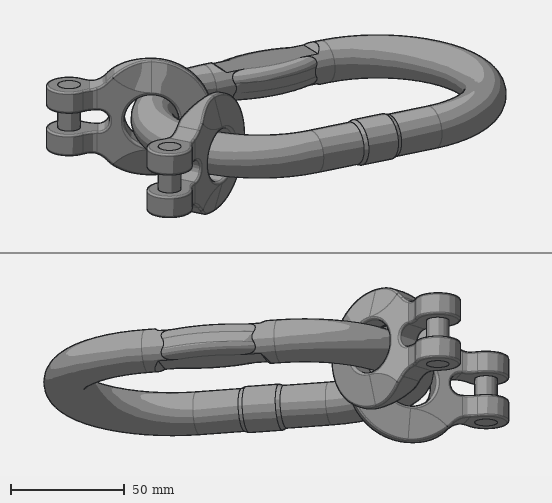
import cadquery as cq
import math

bar_diameter = 19.0
inner_width = 75.0
inner_length = 135.0
bar_radius = bar_diameter / 2
bend_radius = (inner_width + bar_diameter) / 2
straight_half = (inner_length - inner_width) / 2

collar_diameter = 20.43
collar_half = 7.5
collar_foot_half = 9.5

flat_height = 7.0
flat_half = 23.2
flat_end_half = 26.0
bulge_half_width = 13.26
bulge_arc_radius = 55.0
bulge_half_length = 25.0
bulge_edge_radius = 4.75

link_tilt = 30.0
disc_radius = 27.0
disc_offset = 36.2
disc_hole_radius = 12.0
disc_hole_edge_radius = 1.25
arm_half_thickness = 5.75
rim_half_thickness = 1.75
taper_start_radius = 13.3
shoulder_taper_radius = 24.0
eye_radius = 10.0
fork_half_height = 15.0
waist_radius = 10.0
slot_width = 10.0
slot_end = 17.8
edge_radius = 0.9
pin_diameter = 10.0
eye_x = 44.15
eye_y = -101.13

OVERCUT = 3.0
TOLERANCE = 1e-6


def straight_bar(x):
    return (
        cq.Workplane("XZ", origin=(x, straight_half, 0))
        .circle(bar_radius)
        .extrude(2 * straight_half)
    )


def bar_bend(end):
    """Half-circle bend at the +Y (end=1) or -Y (end=-1) end of the ring."""
    return (
        cq.Workplane("XZ", origin=(bend_radius, end * straight_half, 0))
        .circle(bar_radius)
        .revolve(180, (-bend_radius, 0), (-bend_radius, end))
    )


def weld_collar():
    return (
        cq.Workplane("XY", origin=(bend_radius, 0, 0))
        .moveTo(0, -collar_foot_half)
        .lineTo(bar_radius, -collar_foot_half)
        .lineTo(collar_diameter / 2, -collar_half)
        .lineTo(collar_diameter / 2, collar_half)
        .lineTo(bar_radius, collar_foot_half)
        .lineTo(0, collar_foot_half)
        .close()
        .revolve(360, (0, 0), (0, 1))
    )


def grip_flat(side):
    """Cutter for the flat with ramped ends on the top (side=1) or bottom (side=-1) of the bar."""
    ramp = (flat_end_half - flat_half) / (bar_radius - flat_height)
    top = bar_radius + OVERCUT
    top_half = flat_end_half + ramp * OVERCUT
    return (
        cq.Workplane("YZ", origin=(-bend_radius, 0, 0))
        .polyline([
            (-flat_half, side * flat_height),
            (flat_half, side * flat_height),
            (top_half, side * top),
            (-top_half, side * top),
        ])
        .close()
        .extrude(bar_radius + OVERCUT, both=True)
    )


def grip_bulge():
    """Barrel-shaped slab whose arced sides stand out from the bar."""
    drop = bulge_arc_radius - math.sqrt(bulge_arc_radius**2 - bulge_half_length**2)
    end_half_width = bulge_half_width - drop
    return (
        cq.Workplane("XY", origin=(-bend_radius, 0, -flat_height))
        .moveTo(-end_half_width, -bulge_half_length)
        .lineTo(end_half_width, -bulge_half_length)
        .threePointArc((bulge_half_width, 0), (end_half_width, bulge_half_length))
        .lineTo(-end_half_width, bulge_half_length)
        .threePointArc((-bulge_half_width, 0), (-end_half_width, -bulge_half_length))
        .close()
        .extrude(2 * flat_height)
        .edges("%CIRCLE")
        .fillet(bulge_edge_radius)
    )


def make_ring():
    ring = weld_collar()
    for side in (1, -1):
        ring = ring.union(straight_bar(side * bend_radius)).union(bar_bend(side))
    for side in (1, -1):
        ring = ring.cut(grip_flat(side))
    return ring.union(grip_bulge())


def link_side_profile():
    """Disc blending through concave arcs into the straight fork, extruded across the link."""
    centre_distance = disc_radius + waist_radius
    waist_z = fork_half_height + waist_radius
    waist_y = disc_offset - math.sqrt(centre_distance**2 - waist_z**2)
    join_y = disc_offset - (disc_offset - waist_y) * disc_radius / centre_distance
    join_z = waist_z * disc_radius / centre_distance
    return (
        cq.Workplane("YZ")
        .moveTo(-eye_radius, -fork_half_height)
        .lineTo(waist_y, -fork_half_height)
        .radiusArc((join_y, -join_z), waist_radius)
        .threePointArc((disc_offset + disc_radius, 0), (join_y, join_z))
        .radiusArc((waist_y, fork_half_height), waist_radius)
        .lineTo(-eye_radius, fork_half_height)
        .close()
        .extrude(eye_radius, both=True)
    )


def link_plan_profile():
    """Round eye blending through concave arcs into the flat arm, extruded up and down."""
    centre_distance = eye_radius + waist_radius
    waist_x = arm_half_thickness + waist_radius
    waist_y = math.sqrt(centre_distance**2 - waist_x**2)
    join_x = waist_x * eye_radius / centre_distance
    join_y = waist_y * eye_radius / centre_distance
    tip_y = disc_offset + disc_radius + OVERCUT
    return (
        cq.Workplane("XY")
        .moveTo(arm_half_thickness, tip_y)
        .lineTo(arm_half_thickness, waist_y)
        .radiusArc((join_x, join_y), -waist_radius)
        .threePointArc((0, -eye_radius), (-join_x, join_y))
        .radiusArc((-arm_half_thickness, waist_y), -waist_radius)
        .lineTo(-arm_half_thickness, tip_y)
        .close()
        .extrude(disc_radius + OVERCUT, both=True)
    )


def taper_cutter(axis_z, start_z, angle, face):
    """Cutter for one face: a sloped section starting at start_z, turned about an axis along X."""
    slope = (arm_half_thickness - rim_half_thickness) / (disc_radius - taper_start_radius)
    depth = disc_radius - taper_start_radius + OVERCUT
    end_z = start_z + depth
    outside_x = arm_half_thickness + OVERCUT
    return (
        cq.Workplane("XZ", origin=(0, disc_offset, 0))
        .moveTo(face * arm_half_thickness, start_z)
        .lineTo(face * (arm_half_thickness - slope * depth), end_z)
        .lineTo(face * outside_x, end_z)
        .lineTo(face * outside_x, start_z)
        .close()
        .revolve(angle, (0, axis_z), (-1, axis_z))
    )


def taper_disc(link):
    """Thin the disc to its rim: a cone beyond its centre, flared shoulders towards the arm."""
    shoulder_axis_z = taper_start_radius + shoulder_taper_radius
    for face in (1, -1):
        cone = taper_cutter(0, taper_start_radius, 180, face)
        shoulder = taper_cutter(shoulder_axis_z, taper_start_radius, 90, face)
        link = link.cut(cone).cut(shoulder).cut(shoulder.mirror("XY"))
    return link


def fork_slot():
    """Slot between the fork ears, round at its closed end."""
    slot_radius = slot_width / 2
    return (
        cq.Workplane("YZ")
        .moveTo(-eye_radius - OVERCUT, -slot_radius)
        .lineTo(slot_end - slot_radius, -slot_radius)
        .threePointArc((slot_end, 0), (slot_end - slot_radius, slot_radius))
        .lineTo(-eye_radius - OVERCUT, slot_radius)
        .close()
        .extrude(eye_radius + OVERCUT, both=True)
    )


def disc_hole():
    return (
        cq.Workplane("YZ", origin=(0, disc_offset, 0))
        .circle(disc_hole_radius)
        .extrude(arm_half_thickness + OVERCUT, both=True)
    )


def pin_hole():
    return cq.Workplane("XY").circle(pin_diameter / 2).extrude(fork_half_height + OVERCUT, both=True)


def is_wall(face):
    """True for faces that cross the link's thickness: rims, fork tops, slot walls and eye ends."""
    return abs(face.normalAt().x) < TOLERANCE


def is_sharp(edge):
    """True for all edges but the seams between tangent walls, which run straight across Y."""
    return edge.geomType() != "LINE" or abs(edge.tangentAt(0).y) > TOLERANCE


def is_hole_rim(edge):
    return edge.geomType() == "CIRCLE" and abs(edge.radius() - disc_hole_radius) < TOLERANCE


def make_link():
    link = link_side_profile().intersect(link_plan_profile())
    link = taper_disc(link).cut(fork_slot())
    link = link.faces().filter(is_wall).edges().filter(is_sharp).fillet(edge_radius)
    link = link.cut(disc_hole())
    link = link.edges().filter(is_hole_rim).fillet(disc_hole_edge_radius)
    return link.cut(pin_hole())


def make_pin():
    return (
        cq.Workplane("XY", origin=(0, 0, -fork_half_height))
        .circle(pin_diameter / 2)
        .extrude(2 * fork_half_height)
    )


def place(body, side):
    """Move a body from the link's axes to the -X (side=-1) or +X (side=1) link position."""
    return body.rotate((0, 0, 0), (0, 0, 1), side * link_tilt).translate((side * eye_x, eye_y, 0))


ring = make_ring()
links = [place(make_link(), side) for side in (-1, 1)]
pins = [place(make_pin(), side) for side in (-1, 1)]

result = cq.Compound.makeCompound([
    ring.val(),
    *[link.val() for link in links],
    *[pin.val() for pin in pins],
])